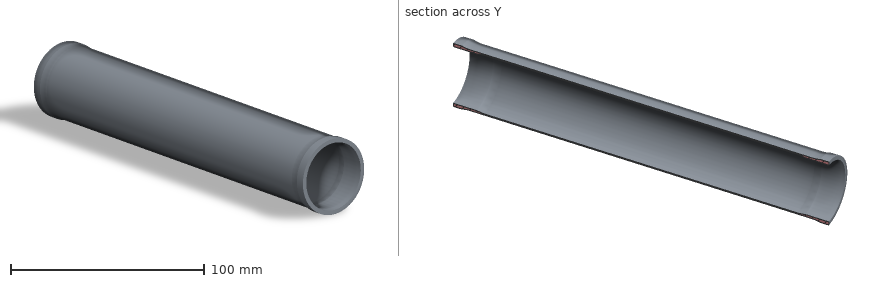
import cadquery as cq
import math

length = 220.0
half_length = length / 2

sleeve_outer_radius = 20.535
body_outer_radius = 19.83
sleeve_outer_length = 5.0
outer_blend_length = 4.9

end_bore_radius = 18.25
body_bore_radius = 18.85
end_bore_length = 13.8
bore_blend_length = 4.6


def tangent_blend_midpoint(step, run):
    """Distance along and height above the tangent end, halfway round an arc of given run and step."""
    arc_radius = (run**2 + step**2) / (2 * step)
    half_sweep = math.asin(run / arc_radius) / 2
    return arc_radius * math.sin(half_sweep), arc_radius * (1 - math.cos(half_sweep))


def revolved_body(end_radius, end_length, middle_radius, blend_length):
    """Solid of revolution about X with equal end lengths blended into its middle by arcs."""
    end_x = half_length - end_length
    middle_x = end_x - blend_length
    along, rise = tangent_blend_midpoint(abs(end_radius - middle_radius), blend_length)
    mid_arc_x = middle_x + along
    mid_arc_radius = middle_radius + math.copysign(rise, end_radius - middle_radius)
    profile = (
        cq.Workplane("XZ")
        .moveTo(-half_length, 0)
        .lineTo(-half_length, end_radius)
        .lineTo(-end_x, end_radius)
        .threePointArc((-mid_arc_x, mid_arc_radius), (-middle_x, middle_radius))
        .lineTo(middle_x, middle_radius)
        .threePointArc((mid_arc_x, mid_arc_radius), (end_x, end_radius))
        .lineTo(half_length, end_radius)
        .lineTo(half_length, 0)
        .close()
    )
    return profile.revolve(360, (0, 0, 0), (1, 0, 0))


outside = revolved_body(sleeve_outer_radius, sleeve_outer_length, body_outer_radius, outer_blend_length)
bore = revolved_body(end_bore_radius, end_bore_length, body_bore_radius, bore_blend_length)

result = outside.cut(bore)